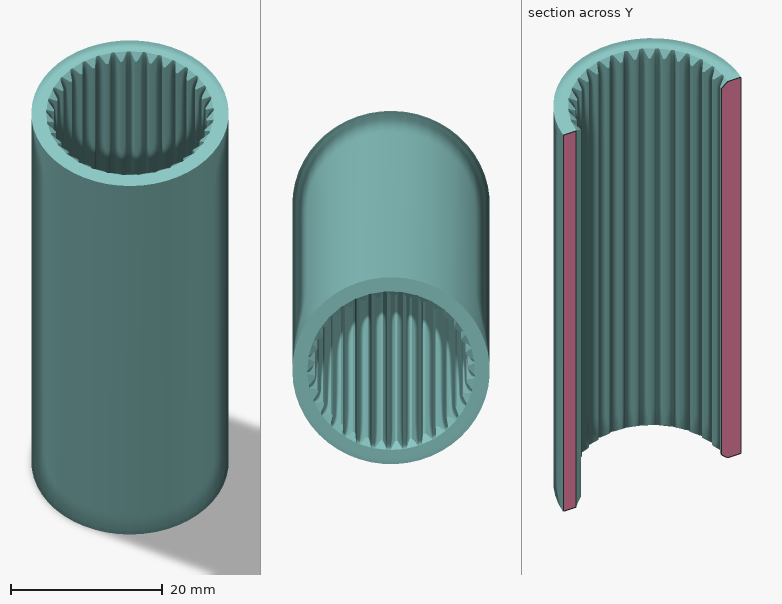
import cadquery as cq
import math

OUTER_DIAMETER = 26.0
LENGTH = 68.0

TOOTH_COUNT = 33
TIP_RADIUS = 10.08
ROOT_RADIUS = 11.05
TIP_LAND = 0.32
GROOVE_FLOOR = 0.43
FIRST_GROOVE_ANGLE = 0.79

LEAD_IN_RADIUS = 11.0
LEAD_IN_DEPTH = LEAD_IN_RADIUS - TIP_RADIUS

PITCH_ANGLE = 360.0 / TOOTH_COUNT


def polar_point(radius, angle):
    """Point at a radius and an angle in degrees."""
    radians = math.radians(angle)
    return (radius * math.cos(radians), radius * math.sin(radians))


def arc_angle(width, radius):
    """Angle in degrees spanned by an arc of the given width."""
    return math.degrees(width / radius)


def spline_bore():
    """Toothed bore, as the solid that is removed from the sleeve."""
    half_mouth = (PITCH_ANGLE - arc_angle(TIP_LAND, TIP_RADIUS)) / 2
    half_floor = arc_angle(GROOVE_FLOOR, ROOT_RADIUS) / 2
    half_pitch = PITCH_ANGLE / 2

    outline = cq.Workplane("XY").moveTo(*polar_point(TIP_RADIUS, FIRST_GROOVE_ANGLE - half_mouth))
    for index in range(TOOTH_COUNT):
        groove = FIRST_GROOVE_ANGLE + index * PITCH_ANGLE
        next_groove = groove + PITCH_ANGLE
        outline = (
            outline
            .lineTo(*polar_point(ROOT_RADIUS, groove - half_floor))
            .threePointArc(polar_point(ROOT_RADIUS, groove), polar_point(ROOT_RADIUS, groove + half_floor))
            .lineTo(*polar_point(TIP_RADIUS, groove + half_mouth))
            .threePointArc(
                polar_point(TIP_RADIUS, groove + half_pitch),
                polar_point(TIP_RADIUS, next_groove - half_mouth),
            )
        )
    return outline.close().extrude(LENGTH)


def lead_in(end_height, inward):
    """Cone frustum at one end of the bore; inward is +1 or -1 along Z."""
    inner_height = end_height + inward * LEAD_IN_DEPTH
    profile = [
        (0, end_height),
        (LEAD_IN_RADIUS, end_height),
        (TIP_RADIUS, inner_height),
        (0, inner_height),
    ]
    return cq.Workplane("XZ").polyline(profile).close().revolve(360, (0, 0, 0), (0, 1, 0))


sleeve = cq.Workplane("XY").circle(OUTER_DIAMETER / 2).extrude(LENGTH)
result = (
    sleeve
    .cut(spline_bore())
    .cut(lead_in(LENGTH, -1))
    .cut(lead_in(0, 1))
)